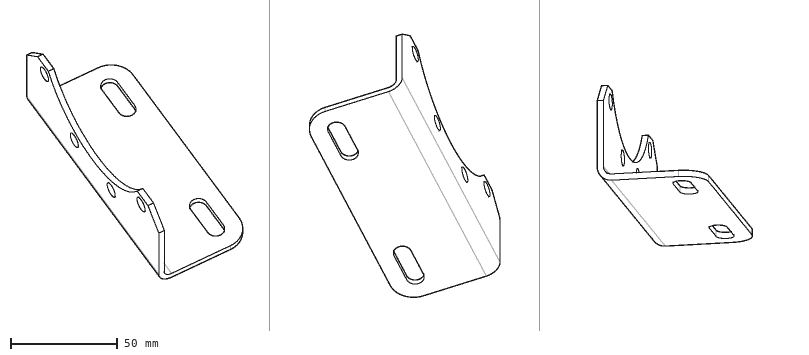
import cadquery as cq
import math

length = 122.0
depth = 51.0
height = 49.0
thickness = 3.0
outer_bend_radius = 7.0
inner_bend_radius = outer_bend_radius - thickness

top_chamfer = 10.0
recess_radius = 48.5
recess_bottom = 26.5
recess_center_z = recess_bottom + recess_radius
bolt_circle_radius = 55.1
bolt_hole_diameter = 7.5
bolt_pitch_angle = 36.0
bolt_count = 4

corner_radius = 12.0
slot_length = 24.3
slot_width = 8.5
slot_spacing = 82.0
slot_back_distance = 12.8


def bent_sheet():
    """L-shaped sheet centred on X, with its upright face at Y = 0."""
    profile = (
        cq.Workplane("YZ")
        .polyline([
            (0, 0), (depth, 0), (depth, thickness),
            (thickness, thickness), (thickness, height), (0, height),
        ])
        .close()
        .extrude(length / 2, both=True)
    )
    inner_corner = cq.NearestToPointSelector((0, thickness, thickness))
    outer_corner = cq.NearestToPointSelector((0, 0, 0))
    bent = profile.edges("|X").edges(inner_corner).fillet(inner_bend_radius)
    return bent.edges("|X").edges(outer_corner).fillet(outer_bend_radius)


def upright_cylinders(centers, radius):
    """Cutters running through the upright flange along Y."""
    return cq.Workplane("XZ").pushPoints(centers).circle(radius).extrude(-thickness)


def bolt_centers():
    """Hole centres spread evenly about the lowest point of the bolt circle."""
    centers = []
    for index in range(bolt_count):
        angle = math.radians((index - (bolt_count - 1) / 2) * bolt_pitch_angle)
        x = bolt_circle_radius * math.sin(angle)
        z = recess_center_z - bolt_circle_radius * math.cos(angle)
        centers.append((x, z))
    return centers


def base_slots():
    """Mounting slot cutters, long in X, through the base flange."""
    slot_y = depth - slot_back_distance
    return (
        cq.Workplane("XY")
        .pushPoints([(-slot_spacing / 2, slot_y), (slot_spacing / 2, slot_y)])
        .slot2D(slot_length, slot_width)
        .extrude(thickness)
    )


bracket = bent_sheet()
bracket = bracket.faces(">Z").edges("|Y").chamfer(top_chamfer)
bracket = bracket.faces(">Y").edges("|Z").fillet(corner_radius)
bracket = bracket.cut(upright_cylinders([(0, recess_center_z)], recess_radius))
bracket = bracket.cut(upright_cylinders(bolt_centers(), bolt_hole_diameter / 2))
result = bracket.cut(base_slots())